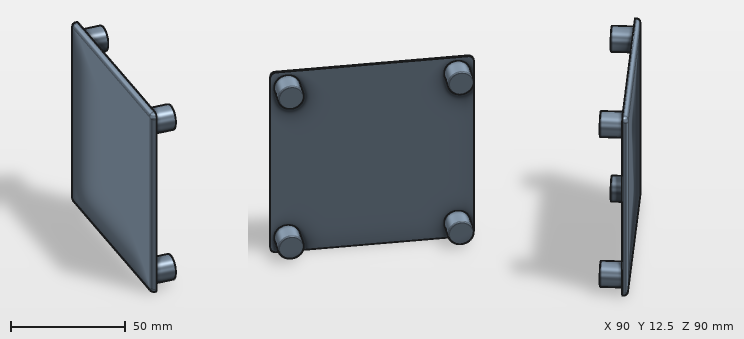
import cadquery as cq

plate_side = 90.0
plate_thickness = 2.5
corner_radius = 2.5
front_edge_radius = 2.0

peg_diameter = 11.5
peg_length = 10.0
peg_tip_radius = 0.5
peg_edge_distance = 7.5
peg_spacing = plate_side - 2 * peg_edge_distance


def make_plate():
    """Plate with rounded corners and a rounded front rim; its back face lies at Y = 0."""
    plate = cq.Workplane("XZ").rect(plate_side, plate_side).extrude(plate_thickness)
    plate = plate.edges("|Y").fillet(corner_radius)
    return plate.faces("<Y").edges().fillet(front_edge_radius)


def make_pegs():
    """Four pegs with rounded tips, one near each plate corner."""
    pegs = (
        cq.Workplane("XZ")
        .rect(peg_spacing, peg_spacing, forConstruction=True)
        .vertices()
        .circle(peg_diameter / 2)
        .extrude(-peg_length)
    )
    return pegs.faces(">Y").edges().fillet(peg_tip_radius)


result = make_plate().union(make_pegs())